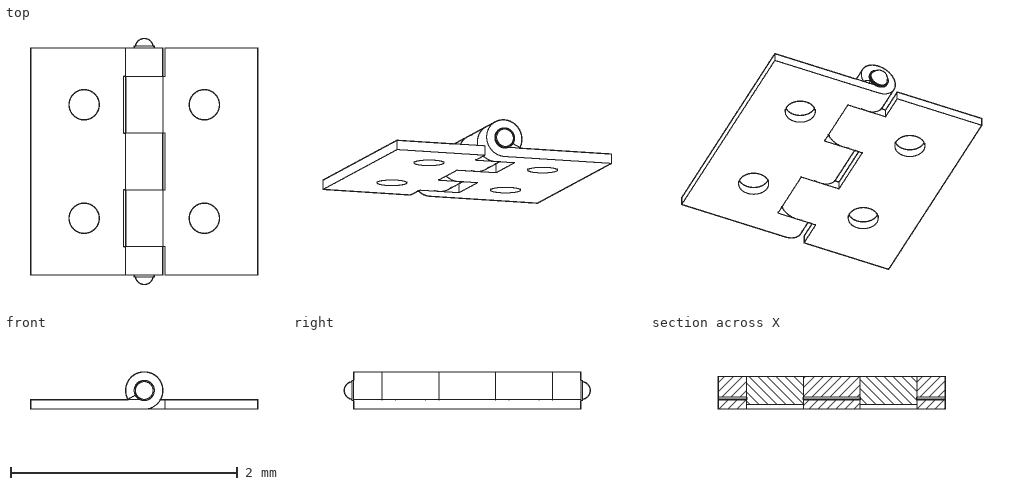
import cadquery as cq
import math


leaf_width = 1.0
leaf_length = 2.0
sheet = 0.085
barrel_radius = 0.165
bore_radius = barrel_radius - sheet
curl_end_angle = 28.0
relief_edge = 0.182

knuckle_length = leaf_length / 4
end_knuckle_length = knuckle_length / 2
knuckle_lengths = [end_knuckle_length] + 3 * [knuckle_length] + [end_knuckle_length]

hole_diameter = 0.265
hole_offset = 0.53
hole_pitch = leaf_length / 2

pin_length = 2.17
collar_radius = 0.09
collar_thickness = 0.017
dome_base_radius = 0.078


def knuckle_spans(first):
    """Start and length along Y of every second knuckle, from number `first`."""
    return [
        (-leaf_length / 2 + sum(knuckle_lengths[:i]), knuckle_lengths[i])
        for i in range(first, len(knuckle_lengths), 2)
    ]


def knuckle(start, length):
    """Strip of sheet that runs from the leaf under the pin and rolls up around it."""
    end_angle = math.radians(curl_end_angle)
    lip_x = -math.cos(end_angle)
    lip_z = -math.sin(end_angle)
    middle_angle = math.radians(90 - curl_end_angle) / 2
    middle_x = math.cos(middle_angle)
    middle_z = math.sin(middle_angle)
    return (
        cq.Workplane("XZ", origin=(0, start, 0))
        .moveTo(-relief_edge, -barrel_radius)
        .lineTo(0, -barrel_radius)
        .threePointArc(
            (barrel_radius * middle_x, barrel_radius * middle_z),
            (barrel_radius * lip_x, barrel_radius * lip_z),
        )
        .lineTo(bore_radius * lip_x, bore_radius * lip_z)
        .threePointArc((bore_radius * middle_x, bore_radius * middle_z), (0, -bore_radius))
        .lineTo(-relief_edge, -bore_radius)
        .close()
        .extrude(-length)
    )


def plate():
    """Flat part of a leaf on the -X side, with its screw holes."""
    blank = cq.Workplane("XY", origin=(0, 0, -barrel_radius)).box(
        leaf_width - relief_edge, leaf_length, sheet, centered=(True, True, False)
    ).translate((-(leaf_width + relief_edge) / 2, 0, 0))
    holes = (
        cq.Workplane("XY", origin=(-hole_offset, 0, -barrel_radius))
        .pushPoints([(0, -hole_pitch / 2), (0, hole_pitch / 2)])
        .circle(hole_diameter / 2)
        .extrude(sheet)
    )
    return blank.cut(holes)


def leaf(first_knuckle):
    """Leaf on the -X side that owns every second knuckle."""
    body = plate()
    for start, length in knuckle_spans(first_knuckle):
        body = body.union(knuckle(start, length))
    return body.clean().solids()


def hinge_pin():
    """Shaft filling the bore, with a thin collar and a dome outside each end."""
    shoulder = leaf_length / 2
    dome_base = shoulder + collar_thickness
    tip = pin_length / 2
    dome_height = tip - dome_base
    dome_radius = (dome_base_radius**2 + dome_height**2) / (2 * dome_height)
    half_angle = math.asin(dome_base_radius / dome_radius) / 2
    dome_middle_x = dome_radius * math.sin(half_angle)
    dome_middle_y = tip - dome_radius * (1 - math.cos(half_angle))
    return (
        cq.Workplane("XY")
        .moveTo(0, -tip)
        .threePointArc((dome_middle_x, -dome_middle_y), (dome_base_radius, -dome_base))
        .lineTo(collar_radius, -dome_base)
        .lineTo(collar_radius, -shoulder)
        .lineTo(bore_radius, -shoulder)
        .lineTo(bore_radius, shoulder)
        .lineTo(collar_radius, shoulder)
        .lineTo(collar_radius, dome_base)
        .lineTo(dome_base_radius, dome_base)
        .threePointArc((dome_middle_x, dome_middle_y), (0, tip))
        .close()
        .revolve(360, (0, 0, 0), (0, 1, 0))
    )


left_leaf = leaf(first_knuckle=0)
right_leaf = leaf(first_knuckle=1).mirror("YZ").solids()
pin = hinge_pin()

result = cq.Compound.makeCompound([left_leaf.val(), right_leaf.val(), pin.val()])